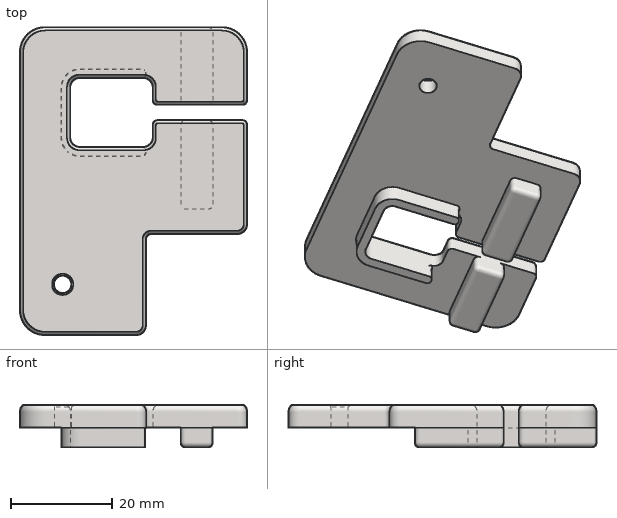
import cadquery as cq
import math

length = 61.0
width = 45.0
plate_thickness = 4.5
foot_height = 3.9
leg_width = 25.0
notch_depth = 20.0

large_corner = 5.0
tip_corner = 2.0
notch_corner = 1.0
mouth_corner = 1.0

rim_height = 1.35
rim_inset = 0.7
rim_overcut = 0.3

window_left = 10.0
window_right = 26.3
window_height = 13.6
window_corner = 1.8
slot_width = 3.0
slot_center = 44.1
window_bottom = slot_center - window_height / 2
window_top = slot_center + window_height / 2
slot_bottom = slot_center - slot_width / 2
slot_top = slot_center + slot_width / 2

collar_wall = 1.75
collar_end = 24.8
collar_corner = 3.65
collar_tip = 0.8
collar_root_height = 0.3
collar_root_spread = 0.1
collar_left = window_left - collar_wall
collar_bottom = window_bottom - collar_wall
collar_top = window_top + collar_wall

bar_center = 35.0
bar_width = 6.35
bar_bottom = 25.0
bar_edge = 1.0

hole_diameter = 3.4
hole_x = 8.5
hole_y = 10.05
hole_chamfer = 0.395


def rounded_outline(corners):
    """Closed wire through (x, y, radius) corners, each rounded with a tangent arc."""
    path = None
    count = len(corners)
    for i in range(count):
        x, y, radius = corners[i]
        corner = cq.Vector(x, y)
        to_previous = (cq.Vector(*corners[i - 1][:2]) - corner).normalized()
        to_next = (cq.Vector(*corners[(i + 1) % count][:2]) - corner).normalized()
        start = corner + to_previous * radius
        end = corner + to_next * radius
        middle = corner + (to_previous + to_next) * (radius * (1 - math.sqrt(0.5)))
        if path is None:
            path = cq.Workplane("XY").moveTo(start.x, start.y)
        else:
            path = path.lineTo(start.x, start.y)
        path = path.threePointArc((middle.x, middle.y), (end.x, end.y))
    return path.close()


def edge_arc_middle(height, inset):
    """Mid-point (inset, rise) of an arc that leaves a wall tangentially and ends at (inset, height)."""
    radius = (height**2 + inset**2) / (2 * inset)
    half_angle = math.asin(height / radius) / 2
    return radius * (1 - math.cos(half_angle)), radius * math.sin(half_angle)


def plate_outline():
    return rounded_outline([
        (0, 0, large_corner),
        (leg_width, 0, tip_corner),
        (leg_width, notch_depth, notch_corner),
        (width, notch_depth, tip_corner),
        (width, slot_bottom, mouth_corner),
        (window_right, slot_bottom, mouth_corner),
        (window_right, window_bottom, window_corner),
        (window_left, window_bottom, window_corner),
        (window_left, window_top, window_corner),
        (window_right, window_top, window_corner),
        (window_right, slot_top, mouth_corner),
        (width, slot_top, mouth_corner),
        (width, length, large_corner),
        (0, length, large_corner),
    ])


def rim_cutter():
    """Material above the rounded rim, swept once around the plate outline."""
    rim_bottom = plate_thickness - rim_height
    middle_inset, middle_rise = edge_arc_middle(rim_height, rim_inset)
    profile = (
        cq.Workplane("YZ", origin=(large_corner, 0, 0))
        .moveTo(0, rim_bottom)
        .threePointArc((middle_inset, rim_bottom + middle_rise), (rim_inset, plate_thickness))
        .lineTo(rim_inset, plate_thickness + rim_overcut)
        .lineTo(-rim_overcut, plate_thickness + rim_overcut)
        .lineTo(-rim_overcut, rim_bottom)
        .close()
    )
    return profile.sweep(plate_outline())


def make_plate():
    return plate_outline().extrude(plate_thickness).cut(rim_cutter())


def collar_outline():
    return rounded_outline([
        (collar_left, collar_bottom, collar_corner),
        (collar_end, collar_bottom, collar_tip),
        (collar_end, window_bottom, collar_tip),
        (window_left, window_bottom, window_corner),
        (window_left, window_top, window_corner),
        (collar_end, window_top, collar_tip),
        (collar_end, collar_top, collar_tip),
        (collar_left, collar_top, collar_corner),
    ])


def collar_root():
    """Flare where the collar meets the plate, kept only outside the window."""
    middle_spread, middle_rise = edge_arc_middle(collar_root_height, collar_root_spread)
    flare = (
        cq.Workplane("YZ", origin=(collar_left + collar_corner, collar_bottom, 0))
        .moveTo(0, -collar_root_height)
        .threePointArc((-middle_spread, middle_rise - collar_root_height), (-collar_root_spread, 0))
        .lineTo(0, 0)
        .close()
        .sweep(collar_outline())
    )
    window = (
        cq.Workplane("XY", origin=(window_left, window_bottom, -foot_height))
        .box(width - window_left, window_height, foot_height, centered=False)
    )
    return flare.cut(window)


def make_collar():
    return collar_outline().extrude(-foot_height).union(collar_root())


def make_bar(y_min, y_max):
    bar = (
        cq.Workplane("XY")
        .center(bar_center, (y_min + y_max) / 2)
        .rect(bar_width, y_max - y_min)
        .extrude(-foot_height)
    )
    return bar.edges("|Z").fillet(bar_edge).faces("<Z").edges().fillet(bar_edge)


def make_hole():
    """Through hole with a 45-degree chamfer at the top face."""
    radius = hole_diameter / 2
    shaft = (
        cq.Workplane("XY")
        .center(hole_x, hole_y)
        .circle(radius)
        .extrude(plate_thickness)
    )
    countersink = cq.Solid.makeCone(
        radius,
        radius + hole_chamfer,
        hole_chamfer,
        cq.Vector(hole_x, hole_y, plate_thickness - hole_chamfer),
    )
    return shaft.union(cq.Workplane(countersink))


result = (
    make_plate()
    .union(make_collar())
    .union(make_bar(bar_bottom, slot_bottom))
    .union(make_bar(slot_top, length))
    .cut(make_hole())
)